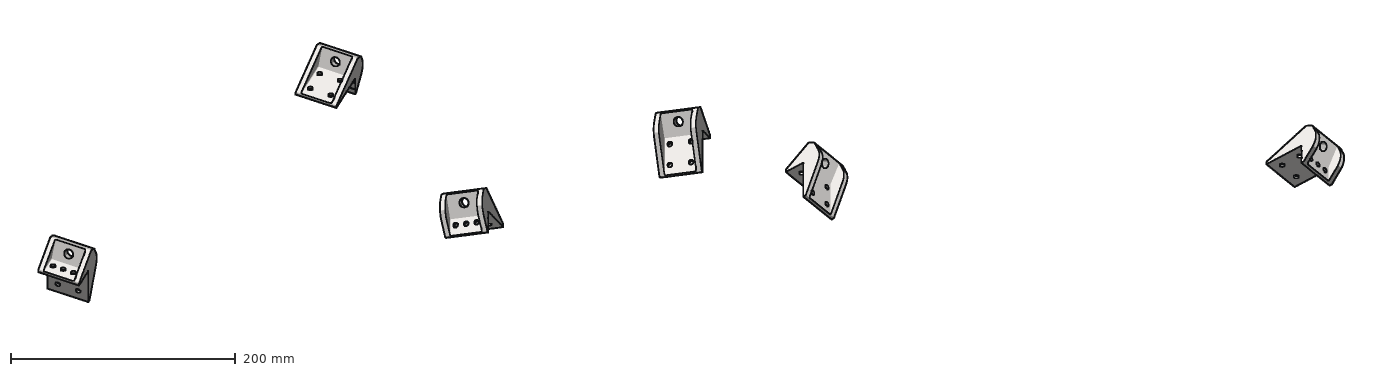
import cadquery as cq
import math


WIDTH = 40.0
CHEEK_THICKNESS = 5.0
PLATE_THICKNESS = 3.0
SHORT_PLATE = 20.0
LONG_PLATE = 40.0
POCKET_WIDTH = WIDTH - 2 * CHEEK_THICKNESS

CORNER_STEP_BACK = 570.0
CORNER_STEP_DOWN = 290.0

WEB_TILT = math.radians(27.0)
WEB_UP = (math.sin(WEB_TILT), math.cos(WEB_TILT))
WEB_BACK = (math.cos(WEB_TILT), -math.sin(WEB_TILT))
WEB_FRONT = -4.0
WEB_THICKNESS = 8.4
WEB_REAR = WEB_FRONT + WEB_THICKNESS
WEB_TOP = 21.0
TOP_LAND_END = 3.5

UPPER_TOP_SLOPE = math.radians(34.2)
LOWER_TOP_SLOPE = math.radians(21.5)
UPPER_BACK_SLOPE = math.radians(23.5)
LOWER_BACK_SLOPE = math.radians(40.0)
SHOULDER_SLOPE = math.radians(22.2)
TIP_HEIGHT = 2.76
DOWN_TIP_DEPTH = 2.76

CREST_RADIUS = 2.6
SHOULDER_RADIUS = 4.0
HEEL_RADIUS = 18.0
TIP_RADIUS = 1.37
POCKET_RADIUS = 0.95

BOLT_DIAMETER = 8.5
BOLT_HEIGHT = 11.0
SCREW_DIAMETER = 4.5
SCREW_SIDE = 10.0
FIRST_ROW = 10.0
SECOND_ROW = 30.0
GROOVE_WIDTH = 8.0
GROOVE_DEPTH = 0.5

REACH = 100.0


def web_point(back, up):
    """(Y, Z) of a point given along the web's thickness and height directions."""
    return (back * WEB_BACK[0] + up * WEB_UP[0], back * WEB_BACK[1] + up * WEB_UP[1])


def meet(start, direction, other_start, other_direction):
    """Crossing point of two lines in the YZ plane."""
    gap = (other_start[0] - start[0], other_start[1] - start[1])
    cross = direction[0] * other_direction[1] - direction[1] * other_direction[0]
    distance = (gap[0] * other_direction[1] - gap[1] * other_direction[0]) / cross
    return (start[0] + distance * direction[0], start[1] + distance * direction[1])


def prism(points, width):
    """A YZ outline extruded along X, centred on X = 0."""
    return cq.Workplane("YZ").polyline(points).close().extrude(width / 2, both=True)


def round_corner(body, corner, radius):
    nearest = cq.selectors.NearestToPointSelector((0, corner[0], corner[1]))
    return body.edges("|X").edges(nearest).fillet(radius)


def outline_block(front_length, down_length, top_slope, back_slope):
    """The full-width block with the outline of the cheeks."""
    front_tip = (-front_length, TIP_HEIGHT)
    down_tip = (DOWN_TIP_DEPTH, -down_length)
    top_direction = (math.cos(top_slope), math.sin(top_slope))
    back_direction = (math.sin(back_slope), math.cos(back_slope))
    shoulder_direction = (math.sin(SHOULDER_SLOPE), -math.cos(SHOULDER_SLOPE))

    shoulder = web_point(TOP_LAND_END, WEB_TOP)
    crest = meet(front_tip, top_direction, shoulder, WEB_BACK)
    heel = meet(shoulder, shoulder_direction, down_tip, back_direction)
    outline = [
        (0, 0),
        (-front_length, 0),
        front_tip,
        crest,
        shoulder,
        heel,
        down_tip,
        (0, -down_length),
    ]
    block = prism(outline, WIDTH)
    block = round_corner(block, heel, HEEL_RADIUS)
    block = round_corner(block, shoulder, SHOULDER_RADIUS)
    block = round_corner(block, crest, CREST_RADIUS)
    block = round_corner(block, front_tip, TIP_RADIUS)
    return round_corner(block, down_tip, TIP_RADIUS)


def pocket(points):
    """A pocket between the cheeks, with its inner edges rounded."""
    near = 0.8 * REACH
    inner_edges = cq.selectors.BoxSelector((-WIDTH, -near, -near), (WIDTH, near, near))
    return prism(points, POCKET_WIDTH).edges(inner_edges).fillet(POCKET_RADIUS)


def front_pocket():
    """The space above the horizontal plate and in front of the web."""
    web_foot = web_point(WEB_FRONT, 0)
    root = meet(web_foot, WEB_UP, (0, PLATE_THICKNESS), (1, 0))
    return pocket([root, (-REACH, PLATE_THICKNESS), (-REACH, REACH), web_point(WEB_FRONT, REACH)])


def back_pocket():
    """The space behind the vertical plate and the web."""
    web_foot = web_point(WEB_REAR, 0)
    root = meet(web_foot, WEB_UP, (PLATE_THICKNESS, 0), (0, 1))
    return pocket([root, (PLATE_THICKNESS, -REACH), (REACH, -REACH), web_point(WEB_REAR, REACH)])


def bolt_hole():
    """The bore square through the web."""
    y, z = web_point(0, BOLT_HEIGHT)
    plane = cq.Plane((0, y, z), (1, 0, 0), (0, WEB_BACK[0], WEB_BACK[1]))
    return cq.Workplane(plane).circle(BOLT_DIAMETER / 2).extrude(WEB_THICKNESS, both=True)


def screw_holes(plane, spots):
    """Bores through a plate that lies in the named plane; spots are counted from the corner."""
    depth = 2 * PLATE_THICKNESS
    return cq.Workplane(plane).pushPoints(spots).circle(SCREW_DIAMETER / 2).extrude(depth, both=True)


def short_plate_spots(length):
    """A row of three holes."""
    row = FIRST_ROW - length
    return [(x, row) for x in (-SCREW_SIDE, 0, SCREW_SIDE)]


def long_plate_spots(length):
    """Two rows of two holes, placed from the free end of the plate."""
    rows = (FIRST_ROW - length, SECOND_ROW - length)
    return [(x, row) for x in (-SCREW_SIDE, SCREW_SIDE) for row in rows]


def bracket(front_length, down_length, top_slope, back_slope):
    """A bracket without its screw holes."""
    block = outline_block(front_length, down_length, top_slope, back_slope)
    return block.cut(front_pocket()).cut(back_pocket()).cut(bolt_hole())


def make_upper_bracket():
    """Short horizontal plate, long vertical plate."""
    body = bracket(SHORT_PLATE, LONG_PLATE, UPPER_TOP_SLOPE, UPPER_BACK_SLOPE)
    body = body.cut(screw_holes("XY", short_plate_spots(SHORT_PLATE)))
    return body.cut(screw_holes("XZ", long_plate_spots(LONG_PLATE)))


def make_lower_bracket():
    """Long horizontal plate, short vertical plate with a shallow groove along its screw row."""
    body = bracket(LONG_PLATE, SHORT_PLATE, LOWER_TOP_SLOPE, LOWER_BACK_SLOPE)
    body = body.cut(screw_holes("XY", long_plate_spots(LONG_PLATE)))
    body = body.cut(screw_holes("XZ", short_plate_spots(SHORT_PLATE)))
    groove = cq.Workplane("XY").box(WIDTH, 2 * GROOVE_DEPTH, GROOVE_WIDTH)
    body = body.cut(groove.translate((0, 0, FIRST_ROW - SHORT_PLATE)))
    return body.translate((0, CORNER_STEP_BACK, -CORNER_STEP_DOWN))


upper_bracket = make_upper_bracket()
lower_bracket = make_lower_bracket()
result = cq.Compound.makeCompound([upper_bracket.val(), lower_bracket.val()])